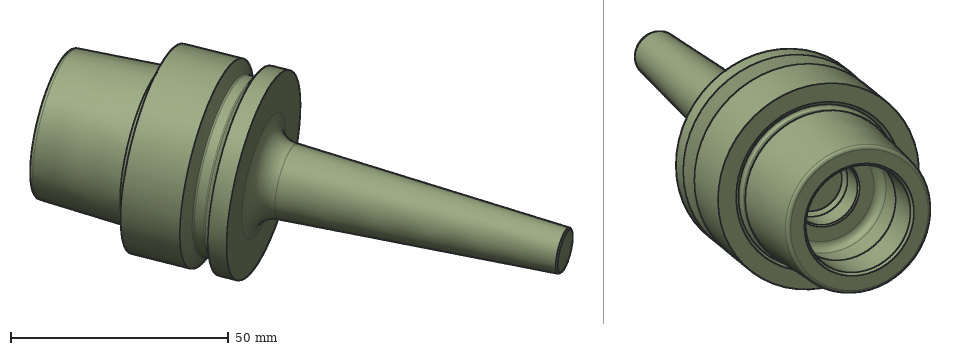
import cadquery as cq
import math

total_length = 124.9
taper_length = 22.7
flange_start = 25.0
flange_end = 51.0

taper_end_radius = 19.1
taper_slope = 1 / 20
nose_fillet = 0.9

neck_radius = 18.9
neck_fillet = 0.9
relief_angle = 15.0
relief_blend_radius = 1.5
recess_depth = 0.4
recess_radius = 20.5

flange_radius = 25.0
groove_offset = 18.0
groove_width = 6.9
groove_floor_radius = 21.6
groove_wall_angle = 30.0
groove_fillet = 0.5

arbor_fillet = 6.0
arbor_tip_radius = 5.5
arbor_half_angle = 3.0
tip_chamfer = 0.4

bore_radius = 13.0
bore_lip_length = 9.7
bore_mouth_chamfer = 0.6
bore_depth = 20.5
chamber_radius = 14.0
chamber_floor_fillet = 2.1
socket_radius = 8.0
socket_depth = 7.5
socket_chamfer = 0.4
socket_floor_radius = 7.0


def arc_point(center_x, center_radius, arc_radius, angle):
    """Point on an arc of the outline, at an angle in degrees from +X toward the outside."""
    return (
        center_x + arc_radius * math.cos(math.radians(angle)),
        center_radius + arc_radius * math.sin(math.radians(angle)),
    )


def make_body():
    """Solid of revolution: taper, neck, grooved flange and arbor."""
    taper_start_radius = taper_end_radius - taper_slope * taper_length
    nose_radius = taper_start_radius - nose_fillet
    nose_end_radius = taper_start_radius + taper_slope * nose_fillet

    relief_sine = math.sin(math.radians(relief_angle))
    relief_cosine = math.cos(math.radians(relief_angle))
    blend_center_radius = neck_radius + relief_blend_radius
    relief_end_radius = blend_center_radius - relief_blend_radius * relief_cosine
    relief_end = taper_length + (taper_end_radius - relief_end_radius) * relief_cosine / relief_sine
    neck_start = relief_end + relief_blend_radius * relief_sine
    recess_floor = flange_start + recess_depth
    neck_fillet_start = recess_floor - neck_fillet
    recess_floor_radius = neck_radius + neck_fillet

    groove_center = flange_start + groove_offset
    groove_half = groove_width / 2
    groove_wall_width = (flange_radius - groove_floor_radius) * math.tan(math.radians(groove_wall_angle))
    corner_turn = 90 - groove_wall_angle
    corner_trim = groove_fillet * math.tan(math.radians(corner_turn / 2))
    floor_half = groove_half - groove_wall_width - corner_trim
    floor_start = groove_center - floor_half
    floor_end = groove_center + floor_half
    groove_fillet_center_radius = groove_floor_radius + groove_fillet

    def groove_corner(center_x, angle):
        return arc_point(center_x, groove_fillet_center_radius, groove_fillet, angle)

    arbor_start = flange_end + arbor_fillet
    arbor_slope = math.tan(math.radians(arbor_half_angle))
    arbor_root_radius = arbor_tip_radius + (total_length - arbor_start) * arbor_slope
    arbor_fillet_radius = arbor_root_radius + arbor_fillet
    chamfer_start_radius = arbor_tip_radius + tip_chamfer * arbor_slope

    return (
        cq.Workplane("XY")
        .moveTo(0, 0)
        .lineTo(0, nose_radius)
        .threePointArc(arc_point(nose_fillet, nose_radius, nose_fillet, 135), (nose_fillet, nose_end_radius))
        .lineTo(taper_length, taper_end_radius)
        .lineTo(relief_end, relief_end_radius)
        .threePointArc(
            arc_point(neck_start, blend_center_radius, relief_blend_radius, -90 - relief_angle / 2),
            (neck_start, neck_radius),
        )
        .lineTo(neck_fillet_start, neck_radius)
        .threePointArc(
            arc_point(neck_fillet_start, recess_floor_radius, neck_fillet, -45),
            (recess_floor, recess_floor_radius),
        )
        .lineTo(flange_start, recess_radius)
        .lineTo(flange_start, flange_radius)
        .lineTo(groove_center - groove_half, flange_radius)
        .lineTo(*groove_corner(floor_start, -90 - corner_turn))
        .threePointArc(groove_corner(floor_start, -90 - corner_turn / 2), (floor_start, groove_floor_radius))
        .lineTo(floor_end, groove_floor_radius)
        .threePointArc(
            groove_corner(floor_end, -90 + corner_turn / 2),
            groove_corner(floor_end, -90 + corner_turn),
        )
        .lineTo(groove_center + groove_half, flange_radius)
        .lineTo(flange_end, flange_radius)
        .lineTo(flange_end, arbor_fillet_radius)
        .threePointArc(
            arc_point(arbor_start, arbor_fillet_radius, arbor_fillet, -135),
            (arbor_start, arbor_root_radius),
        )
        .lineTo(total_length - tip_chamfer, chamfer_start_radius)
        .lineTo(total_length, arbor_tip_radius - tip_chamfer)
        .lineTo(total_length, 0)
        .close()
        .revolve(360, (0, 0, 0), (1, 0, 0))
    )


def make_bore():
    """Stepped bore, opening toward -X."""
    socket_end = bore_depth + socket_depth
    socket_cone_length = socket_radius - socket_floor_radius
    floor_edge_radius = chamber_radius - chamber_floor_fillet
    fillet_start = bore_depth - chamber_floor_fillet
    return (
        cq.Workplane("XY")
        .moveTo(0, 0)
        .lineTo(0, bore_radius + bore_mouth_chamfer)
        .lineTo(bore_mouth_chamfer, bore_radius)
        .lineTo(bore_lip_length, bore_radius)
        .lineTo(bore_lip_length, chamber_radius)
        .lineTo(fillet_start, chamber_radius)
        .threePointArc(
            arc_point(fillet_start, floor_edge_radius, chamber_floor_fillet, 45),
            (bore_depth, floor_edge_radius),
        )
        .lineTo(bore_depth, socket_radius + socket_chamfer)
        .lineTo(bore_depth + socket_chamfer, socket_radius)
        .lineTo(socket_end - socket_cone_length, socket_radius)
        .lineTo(socket_end, socket_floor_radius)
        .lineTo(socket_end, 0)
        .close()
        .revolve(360, (0, 0, 0), (1, 0, 0))
    )


result = make_body().cut(make_bore())